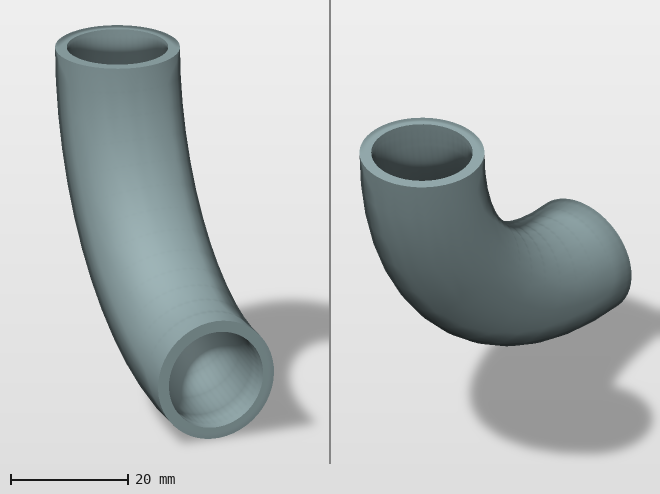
import cadquery as cq

overall_length = 55.65
outer_diameter = 21.3
wall_thickness = 2.0
bend_angle = 90.0

outer_radius = outer_diameter / 2
inner_radius = outer_radius - wall_thickness
bend_radius = overall_length - outer_radius

pipe_section = cq.Workplane("XY").circle(outer_radius).circle(inner_radius)
axis_start = (bend_radius, 0)
axis_end = (bend_radius, -1)

result = pipe_section.revolve(bend_angle, axis_start, axis_end)